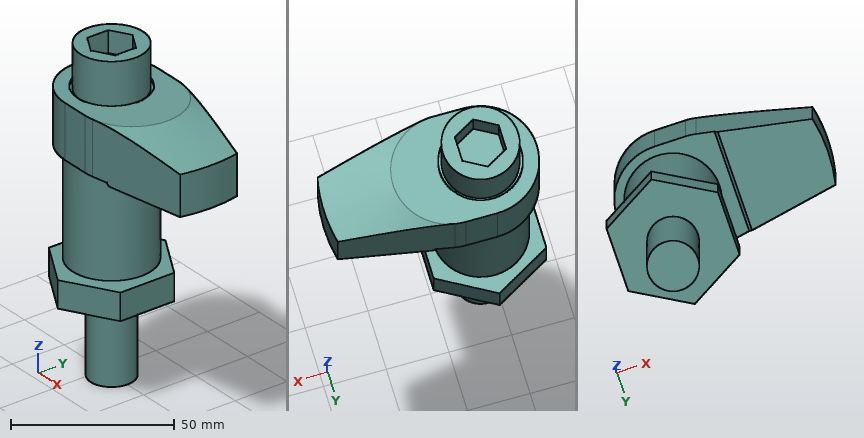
import cadquery as cq
import math


screw_diameter = 16
screw_length = 100
head_diameter = 24
head_height = 16
socket_across_flats = 14
socket_depth = 8

base_bottom = 30
base_height = 10
base_across_flats = 36
spigot_diameter = 23
spigot_height = 1

shank_diameter = 30
shank_length = 40
arm_height = 20
arm_end_radius = 18
arm_flat_length = 10
nose_reach = 50
nose_half_width = 11
nose_drop = 6
seat_diameter = 26
pad_depth = 1
pad_start = 20
pad_chamfer = 1

spigot_bottom = base_bottom + base_height
shank_bottom = spigot_bottom + spigot_height
arm_bottom = shank_bottom + shank_length
arm_top = arm_bottom + arm_height
pad_bottom = arm_bottom - pad_depth


def cylinder(diameter, bottom, height):
    """Upright cylinder on the screw axis."""
    return cq.Workplane("XY").workplane(offset=bottom).circle(diameter / 2).extrude(height)


def hexagon(across_flats, bottom, height):
    """Upright hexagonal prism with two flats facing along X."""
    across_corners = across_flats / math.cos(math.pi / 6)
    return (
        cq.Workplane("XY", origin=(0, 0, bottom))
        .transformed(rotate=(0, 0, 90))
        .polygon(6, across_corners)
        .extrude(height)
    )


def make_screw():
    shaft = cylinder(screw_diameter, 0, screw_length)
    head = cylinder(head_diameter, screw_length, head_height)
    socket_bottom = screw_length + head_height - socket_depth
    socket = hexagon(socket_across_flats, socket_bottom, socket_depth)
    return shaft.union(head).cut(socket)


def make_base():
    nut = hexagon(base_across_flats, base_bottom, base_height)
    spigot = cylinder(spigot_diameter, spigot_bottom, spigot_height)
    bore = cylinder(screw_diameter, base_bottom, base_height + spigot_height)
    return nut.union(spigot).cut(bore)


def arm_outline(bottom):
    """Plan of the arm: round end, straight sides, then sides tapering to the nose."""
    nose_corner_x = math.sqrt(nose_reach**2 - nose_half_width**2)
    corner_distance = math.hypot(nose_corner_x - arm_flat_length, nose_half_width)
    corner_angle = math.atan2(nose_half_width, nose_corner_x - arm_flat_length)
    tangent_angle = corner_angle + math.acos(arm_end_radius / corner_distance)
    tangent_x = arm_flat_length + arm_end_radius * math.cos(tangent_angle)
    tangent_y = arm_end_radius * math.sin(tangent_angle)
    middle_angle = (tangent_angle + math.pi / 2) / 2
    middle_x = arm_flat_length + arm_end_radius * math.cos(middle_angle)
    middle_y = arm_end_radius * math.sin(middle_angle)
    return (
        cq.Workplane("XY", origin=(0, 0, bottom))
        .moveTo(0, arm_end_radius)
        .threePointArc((-arm_end_radius, 0), (0, -arm_end_radius))
        .lineTo(arm_flat_length, -arm_end_radius)
        .threePointArc((middle_x, -middle_y), (tangent_x, -tangent_y))
        .lineTo(nose_corner_x, -nose_half_width)
        .threePointArc((nose_reach, 0), (nose_corner_x, nose_half_width))
        .lineTo(tangent_x, tangent_y)
        .threePointArc((middle_x, middle_y), (arm_flat_length, arm_end_radius))
        .close()
    )


def nose_slope_cutter():
    """Ring above the cone that falls away from the front round of the boss."""
    slope = nose_drop / (nose_reach - arm_flat_length - arm_end_radius)
    outer_radius = nose_reach
    outer_bottom = arm_top - slope * (outer_radius - arm_end_radius)
    ring = (
        cq.Workplane("XZ", origin=(arm_flat_length, 0, 0))
        .moveTo(arm_end_radius, arm_top)
        .lineTo(outer_radius, outer_bottom)
        .lineTo(outer_radius, arm_top)
        .close()
        .revolve(360, (0, 0, 0), (0, 1, 0))
    )
    ahead = (
        cq.Workplane("XY", origin=(arm_flat_length, 0, pad_bottom))
        .rect(2 * nose_reach, 2 * nose_reach)
        .extrude(arm_height + pad_depth)
        .translate((nose_reach, 0, 0))
    )
    return ring.intersect(ahead)


def pad_relief():
    """Space under the boss that leaves the pad standing below the nose."""
    return (
        cq.Workplane("XZ")
        .moveTo(-arm_end_radius, pad_bottom)
        .lineTo(pad_start, pad_bottom)
        .lineTo(pad_start - pad_chamfer, arm_bottom)
        .lineTo(-arm_end_radius, arm_bottom)
        .close()
        .extrude(arm_end_radius, both=True)
    )


def make_hook():
    arm = arm_outline(pad_bottom).extrude(arm_height + pad_depth)
    arm = arm.cut(nose_slope_cutter()).cut(pad_relief())
    shank = cylinder(shank_diameter, shank_bottom, shank_length)
    bore = cylinder(screw_diameter, shank_bottom, screw_length - shank_bottom)
    seat = cylinder(seat_diameter, screw_length, arm_top - screw_length)
    return arm.union(shank).cut(bore).cut(seat)


screw = make_screw()
base = make_base()
hook = make_hook()

result = cq.Compound.makeCompound([screw.val(), base.val(), hook.val()])